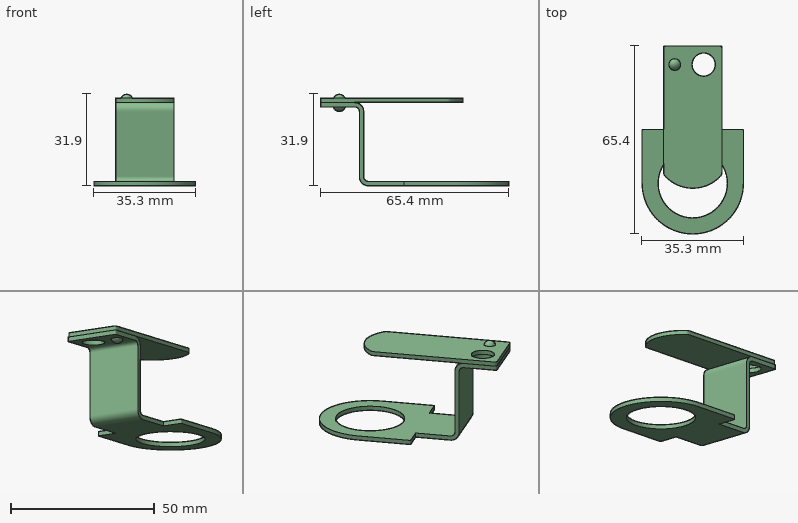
import cadquery as cq
import math

bracket_sheet = 1.6
lever_sheet = 1.5
strip_width = 20.35
half_strip = strip_width / 2
back_y = 47.75

ring_radius = 17.65
ring_hole_diameter = 24.0
shoulder_y = 18.8
web_back_y = 34.35
web_front_y = web_back_y - bracket_sheet
bracket_height = 29.0
bend_inner_radius = bracket_sheet
bracket_corner_radius = 0.45

lever_nose_y = -1.75
nose_radius = 13.1
lever_back_radius = 1.0
nose_corner_radius = 1.95

pivot_y = 41.3
sight_hole_x = 3.8
sight_hole_diameter = 8.0

rivet_x = -6.3
shank_diameter = 2.3
top_head_diameter = 4.05
bottom_head_diameter = 4.25
bottom_head_height = 1.6
total_height = 31.85

lever_top = bracket_height + lever_sheet
flange_bottom = bracket_height - bracket_sheet
top_head_height = total_height - lever_top


def vertical_cylinder(x, y, diameter):
    """Cutter running through the full height of the assembly."""
    return cq.Workplane("XY").center(x, y).circle(diameter / 2).extrude(total_height)


def cut_flange_holes(plate):
    """Cut the sight hole and the rivet hole."""
    sight_hole = vertical_cylinder(sight_hole_x, pivot_y, sight_hole_diameter)
    rivet_hole = vertical_cylinder(rivet_x, pivot_y, shank_diameter)
    return plate.cut(sight_hole).cut(rivet_hole)


def make_bent_strip():
    """Z-shaped strip, bent from the base up the web and back to the flange."""
    strip = (
        cq.Workplane("YZ")
        .moveTo(shoulder_y, 0)
        .lineTo(web_back_y, 0)
        .lineTo(web_back_y, flange_bottom)
        .lineTo(back_y, flange_bottom)
        .lineTo(back_y, bracket_height)
        .lineTo(web_front_y, bracket_height)
        .lineTo(web_front_y, bracket_sheet)
        .lineTo(shoulder_y, bracket_sheet)
        .close()
        .extrude(half_strip, both=True)
    )
    bends = [
        (web_back_y, 0, bend_inner_radius + bracket_sheet),
        (web_front_y, bracket_sheet, bend_inner_radius),
        (web_front_y, bracket_height, bend_inner_radius + bracket_sheet),
        (web_back_y, flange_bottom, bend_inner_radius),
    ]
    for y, z, radius in bends:
        strip = strip.edges(cq.NearestToPointSelector((0, y, z))).fillet(radius)
    return strip.faces(">Y").edges("|Z").fillet(bracket_corner_radius)


def make_bracket():
    base = (
        cq.Workplane("XY")
        .moveTo(-ring_radius, shoulder_y)
        .lineTo(-ring_radius, 0)
        .threePointArc((0, -ring_radius), (ring_radius, 0))
        .lineTo(ring_radius, shoulder_y)
        .close()
        .extrude(bracket_sheet)
        .faces(">Y").edges("|Z").fillet(bracket_corner_radius)
    )
    ring_hole = cq.Workplane("XY").circle(ring_hole_diameter / 2).extrude(bracket_sheet)
    return cut_flange_holes(base.cut(ring_hole).union(make_bent_strip()))


def make_lever():
    nose_centre_y = lever_nose_y + nose_radius
    nose_side_y = nose_centre_y - math.sqrt(nose_radius**2 - half_strip**2)
    lever = (
        cq.Workplane("XY", origin=(0, 0, bracket_height))
        .moveTo(-half_strip, back_y)
        .lineTo(-half_strip, nose_side_y)
        .threePointArc((0, lever_nose_y), (half_strip, nose_side_y))
        .lineTo(half_strip, back_y)
        .close()
        .extrude(lever_sheet)
    )
    lever = lever.faces(">Y").edges("|Z").fillet(lever_back_radius)
    for x in (-half_strip, half_strip):
        nose_corner = cq.NearestToPointSelector((x, nose_side_y, bracket_height + lever_sheet / 2))
        lever = lever.edges(nose_corner).fillet(nose_corner_radius)
    return cut_flange_holes(lever)


def make_rivet():
    """Shank with a spherical-cap head at each end, revolved about its axis."""

    def cap_midpoint(head_diameter, height):
        """Radius and height of the point halfway along the cap's profile arc."""
        head_radius = head_diameter / 2
        sphere_radius = (head_radius**2 + height**2) / (2 * height)
        half_angle = math.atan2(head_radius, sphere_radius - height) / 2
        return (
            sphere_radius * math.sin(half_angle),
            height - sphere_radius * (1 - math.cos(half_angle)),
        )

    top_mid_radius, top_mid_height = cap_midpoint(top_head_diameter, top_head_height)
    bottom_mid_radius, bottom_mid_height = cap_midpoint(bottom_head_diameter, bottom_head_height)
    return (
        cq.Workplane("XZ", origin=(rivet_x, pivot_y, 0))
        .moveTo(0, flange_bottom - bottom_head_height)
        .threePointArc(
            (bottom_mid_radius, flange_bottom - bottom_mid_height),
            (bottom_head_diameter / 2, flange_bottom),
        )
        .lineTo(shank_diameter / 2, flange_bottom)
        .lineTo(shank_diameter / 2, lever_top)
        .lineTo(top_head_diameter / 2, lever_top)
        .threePointArc((top_mid_radius, lever_top + top_mid_height), (0, total_height))
        .close()
        .revolve(360, (0, 0, 0), (0, 1, 0))
    )


bracket = make_bracket()
lever = make_lever()
rivet = make_rivet()

result = cq.Compound.makeCompound([bracket.val(), lever.val(), rivet.val()])